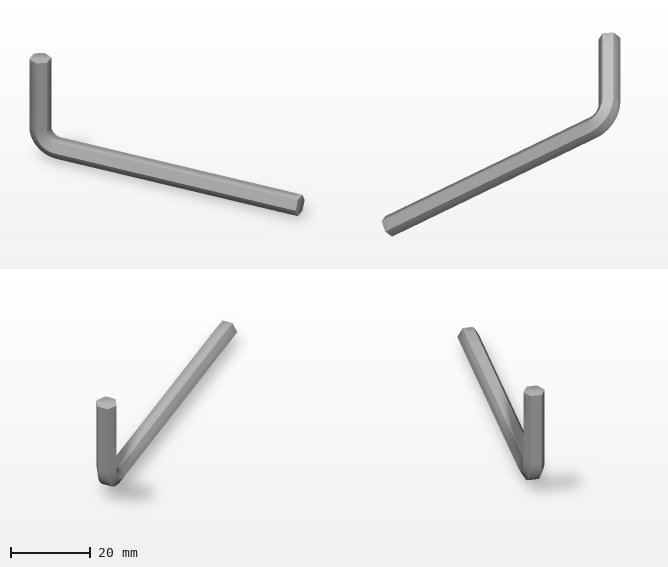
import cadquery as cq
import math

long_reach = 73.8
short_reach = 27.75
across_flats = 4.8
outer_bend_radius = 7.45

across_corners = across_flats / math.cos(math.pi / 6)
half_flats = across_flats / 2
bend_radius = outer_bend_radius - half_flats
bend_mid = bend_radius * math.sin(math.pi / 4)

path = (
    cq.Workplane("XZ")
    .moveTo(0, short_reach - half_flats)
    .lineTo(0, bend_radius)
    .threePointArc(
        (bend_radius - bend_mid, bend_radius - bend_mid),
        (bend_radius, 0),
    )
    .lineTo(long_reach - half_flats, 0)
)

result = (
    cq.Workplane("XY", origin=(0, 0, short_reach - half_flats))
    .transformed(rotate=(0, 0, 90))
    .polygon(6, across_corners)
    .sweep(path)
)